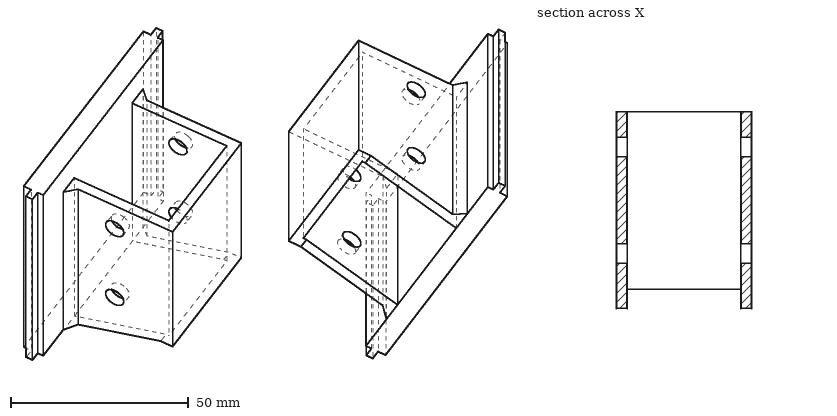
import cadquery as cq

total_depth = 40.3
total_width = 72.0
plate_height = 70.0

plate_thickness = 6.4
tongue_length = 2.9
tongue_start = 2.45
tongue_thickness = 2.15

sleeve_width = 38.0
wall = 3.0
sleeve_top = plate_height - 10.0
sleeve_bottom = 10.0
bottom_flat = 4.0
gusset_leg = 3.0

hole_diameter = 5.9
hole_x = 21.4
hole_heights = (20.0, 50.0)


def make_box(x_start, x_end, width, z_end):
    """Box centred on Y, standing on the Z = 0 plane."""
    return (
        cq.Workplane("XY")
        .box(x_end - x_start, width, z_end, centered=(False, True, False))
        .translate((x_start, 0, 0))
    )


def make_plate():
    body = make_box(0, plate_thickness, total_width - 2 * tongue_length, plate_height)
    tongues = make_box(tongue_start, tongue_start + tongue_thickness, total_width, plate_height)
    return body.union(tongues)


def make_sleeve():
    half_width = sleeve_width / 2
    gusset_half_width = half_width + gusset_leg
    gusset_end = plate_thickness + gusset_leg

    outer = (
        cq.Workplane("XY")
        .polyline([
            (plate_thickness, -gusset_half_width),
            (gusset_end, -half_width),
            (total_depth, -half_width),
            (total_depth, half_width),
            (gusset_end, half_width),
            (plate_thickness, gusset_half_width),
        ])
        .close()
        .extrude(sleeve_top)
    )
    cavity = make_box(plate_thickness, total_depth - wall, sleeve_width - 2 * wall, sleeve_top)

    side_profile = (
        cq.Workplane("XZ")
        .polyline([
            (plate_thickness, 0),
            (total_depth - bottom_flat, sleeve_bottom),
            (total_depth, sleeve_bottom),
            (total_depth, sleeve_top),
            (plate_thickness, sleeve_top),
        ])
        .close()
        .extrude(gusset_half_width, both=True)
    )
    return outer.cut(cavity).intersect(side_profile)


def make_holes():
    return (
        cq.Workplane("XZ")
        .pushPoints([(hole_x, height) for height in hole_heights])
        .circle(hole_diameter / 2)
        .extrude(total_width / 2, both=True)
    )


result = make_plate().union(make_sleeve()).cut(make_holes())